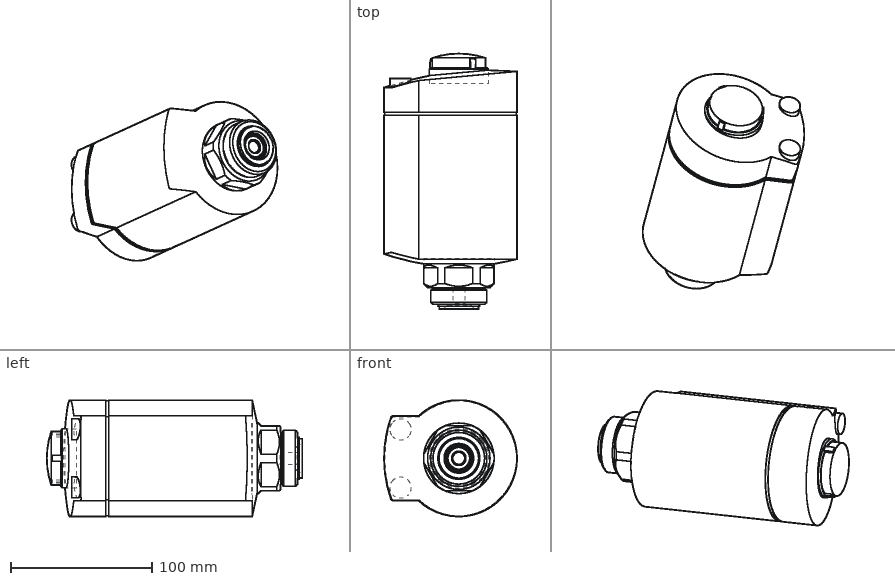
import cadquery as cq
import math


overall_width = 94.34
barrel_radius = 82.57 / 2
lug_half_height = 30.0
lug_face_radius = 86.0
lug_corner_radius = 2.0
lug_face_x = barrel_radius - overall_width

housing_front_y = 30.0
housing_rear_y = 137.2
front_dome_radius = 160.0

joint_gap = 2.1
joint_depth = 0.5
rear_dome_radius = 230.0
rear_dome_offset_x = 21.0
rear_dome_y = 169.2
boss_diameter = 15.0
boss_x = -41.4
boss_z = 20.6
boss_rear_y = 163.4
boss_length = 15.0

hex_circle_diameter = 50.0
hex_across_flats = 46.0
hex_side_count = 6
hex_front_y = 15.3
hex_front_diameter = 44.2
hex_chamfer_length = 2.8
hex_flat_rear_y = 29.2
coupling_rear_y = 36.0
neck_diameter = 37.0
collar_diameter = 39.9
collar_front_y = 3.3
collar_face_diameter = 36.5
collar_chamfer_end_y = 4.9
collar_rear_y = 13.2
collar_taper_end_y = 14.2
tip_diameter = 28.0
tip_root_diameter = 28.8
lip_diameter = 29.7
tip_length = 2.2
mouth_diameter = 21.0
mouth_step_outer_diameter = 19.4
mouth_step_inner_diameter = 18.2
mouth_step_depth = 2.2
groove_outer_diameter = 16.8
groove_inner_diameter = 15.4
groove_depth = 5.0
mouth_depth = 3.0
bore_rim_diameter = 10.15
bore_diameter = 8.57
bore_chamfer_length = 1.0
bore_depth = 16.0

button_seat_y = 160.0
flange_diameter = 42.0
flange_edge_diameter = 39.4
flange_chamfer_y = 169.8
flange_rear_y = 171.0
cap_diameter = 38.0
cap_edge_y = 177.8
button_rear_y = 181.0
key_count = 3
key_width = 4.3
key_radius = 20.4
key_tip_radius = 19.9
key_taper_y = 174.4
key_rear_y = 177.2


def revolve_about_y(profile):
    """Full turn of a closed radius-Y profile about the Y axis."""
    return profile.close().revolve(360, (0, 0, 0), (0, 1, 0))


def body_prism(start_y, end_y):
    """Barrel with a side lug, whose outer face is an arc with rounded corners."""
    length = end_y - start_y
    plane = cq.Workplane("XZ", origin=(0, start_y, 0))
    barrel = plane.circle(barrel_radius).extrude(-length)
    sagitta = lug_face_radius - math.sqrt(lug_face_radius**2 - lug_half_height**2)
    corner_x = lug_face_x + sagitta
    lug = (
        plane.moveTo(0, -lug_half_height)
        .lineTo(corner_x, -lug_half_height)
        .threePointArc((lug_face_x, 0), (corner_x, lug_half_height))
        .lineTo(0, lug_half_height)
        .close()
        .extrude(-length)
        .edges("|Y")
        .edges("<X")
        .fillet(lug_corner_radius)
    )
    return barrel.union(lug)


def disc(diameter, start_y, end_y, x=0.0, z=0.0):
    """Round disc with its axis along Y."""
    plane = cq.Workplane("XZ", origin=(x, start_y, z))
    return plane.circle(diameter / 2).extrude(start_y - end_y)


def make_housing():
    """Main housing with a domed front and a seat for the coupling."""
    dome = cq.Workplane("XY").sphere(front_dome_radius)
    dome = dome.translate((0, housing_front_y + front_dome_radius, 0))
    housing = body_prism(housing_front_y, housing_rear_y).intersect(dome)
    return housing.cut(disc(hex_circle_diameter, housing_front_y, coupling_rear_y))


def make_cover():
    """Rear cover: inset lip at the joint, offset dome, two bosses and a button seat."""
    lip_end_y = housing_rear_y + joint_gap
    dome = cq.Workplane("XY").sphere(rear_dome_radius)
    dome = dome.translate((rear_dome_offset_x, rear_dome_y - rear_dome_radius, 0))
    cover = body_prism(lip_end_y, rear_dome_y).intersect(dome)

    lip_outline = body_prism(housing_rear_y, lip_end_y).faces("<Y").wires().val()
    lip_wire = lip_outline.offset2D(-joint_depth)[0]
    lip = cq.Workplane(cq.Solid.extrudeLinear(lip_wire, [], cq.Vector(0, joint_gap, 0)))
    cover = cover.union(lip)

    for side in (-1, 1):
        boss = disc(boss_diameter, boss_rear_y - boss_length, boss_rear_y, boss_x, side * boss_z)
        cover = cover.union(boss)
    return cover.cut(disc(flange_diameter, button_seat_y, rear_dome_y))


def make_coupling():
    """Turned coupling with hexagon flats, collar, lipped tip, grooved mouth and bore."""
    hex_radius = hex_circle_diameter / 2
    bore_start_y = mouth_depth + bore_chamfer_length
    profile = (
        cq.Workplane("XY")
        .moveTo(0, coupling_rear_y)
        .lineTo(hex_radius, coupling_rear_y)
        .lineTo(hex_radius, hex_front_y + hex_chamfer_length)
        .lineTo(hex_front_diameter / 2, hex_front_y)
        .lineTo(neck_diameter / 2, hex_front_y)
        .lineTo(neck_diameter / 2, collar_taper_end_y)
        .lineTo(collar_diameter / 2, collar_rear_y)
        .lineTo(collar_diameter / 2, collar_chamfer_end_y)
        .lineTo(collar_face_diameter / 2, collar_front_y)
        .lineTo(tip_root_diameter / 2, collar_front_y)
        .lineTo(lip_diameter / 2, tip_length)
        .lineTo(tip_diameter / 2, tip_length)
        .lineTo(tip_diameter / 2, 0)
        .lineTo(mouth_diameter / 2, 0)
        .lineTo(mouth_step_outer_diameter / 2, mouth_step_depth)
        .lineTo(mouth_step_inner_diameter / 2, mouth_step_depth)
        .lineTo(groove_outer_diameter / 2, mouth_depth)
        .lineTo(groove_outer_diameter / 2, groove_depth)
        .lineTo(groove_inner_diameter / 2, groove_depth)
        .lineTo(groove_inner_diameter / 2, mouth_depth)
        .lineTo(bore_rim_diameter / 2, mouth_depth)
        .lineTo(bore_diameter / 2, bore_start_y)
        .lineTo(bore_diameter / 2, bore_depth)
        .lineTo(0, bore_depth)
    )
    coupling = revolve_about_y(profile)

    flat_radius = hex_across_flats / 2
    runout = hex_radius - flat_radius
    flat_cutter = (
        cq.Workplane("YZ")
        .moveTo(hex_front_y, flat_radius)
        .lineTo(hex_flat_rear_y, flat_radius)
        .lineTo(hex_flat_rear_y + runout, hex_radius)
        .lineTo(hex_front_y, hex_radius)
        .close()
        .extrude(hex_radius, both=True)
    )
    for index in range(hex_side_count):
        angle = index * 360 / hex_side_count
        coupling = coupling.cut(flat_cutter.rotate((0, 0, 0), (0, 1, 0), angle))
    return coupling


def make_button():
    """Flanged button with a domed end and keys spaced around its rim."""
    cap_radius = cap_diameter / 2
    dome_height = button_rear_y - cap_edge_y
    dome_radius = (cap_radius**2 + dome_height**2) / (2 * dome_height)
    mid_radius = cap_radius / 2
    mid_y = button_rear_y - dome_radius + math.sqrt(dome_radius**2 - mid_radius**2)
    profile = (
        cq.Workplane("XY")
        .moveTo(0, button_seat_y)
        .lineTo(flange_diameter / 2, button_seat_y)
        .lineTo(flange_diameter / 2, flange_chamfer_y)
        .lineTo(flange_edge_diameter / 2, flange_rear_y)
        .lineTo(cap_radius, flange_rear_y)
        .lineTo(cap_radius, cap_edge_y)
        .threePointArc((mid_radius, mid_y), (0, button_rear_y))
    )
    button = revolve_about_y(profile)

    key = (
        cq.Workplane("XY")
        .moveTo(0, flange_chamfer_y)
        .lineTo(-key_radius, flange_chamfer_y)
        .lineTo(-key_radius, key_taper_y)
        .lineTo(-key_tip_radius, key_rear_y)
        .lineTo(0, key_rear_y)
        .close()
        .extrude(key_width / 2, both=True)
    )
    for index in range(key_count):
        angle = index * 360 / key_count
        button = button.union(key.rotate((0, 0, 0), (0, 1, 0), angle))
    return button


housing = make_housing()
cover = make_cover()
coupling = make_coupling()
button = make_button()

result = cq.Compound.makeCompound([housing.val(), cover.val(), coupling.val(), button.val()])